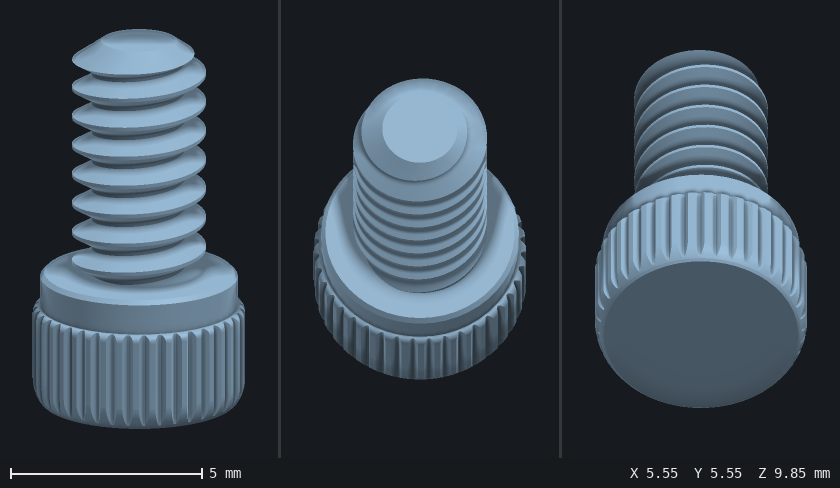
import cadquery as cq
import math

head_height = 3.505
collar_radius = 2.585
collar_chamfer = 0.11
knurl_radius = 2.778
knurl_height = 2.6
knurl_top_fillet = knurl_radius - collar_radius
crown_height = 0.6
crown_arc_radius = 0.95
foot_chamfer = 0.06

groove_count = 40
groove_depth = 0.135
groove_root_width = 0.062
groove_flank_angle = 40
groove_overcut = 0.1

major_radius = 3.505 / 2
pitch = 25.4 / 32
shank_length = 6.345
flank_angle = 30
thread_flat = pitch / 8
thread_depth = 0.75 * pitch / (2 * math.tan(math.radians(flank_angle)))
minor_radius = major_radius - thread_depth
thread_overcut = 0.05
thread_start = -1.82 * pitch
thread_turns = 10.5
tip_radius = 0.985
tip_angle = 35


def make_head():
    """Collar above a wider band with a rounded top edge and a crowned foot."""
    def crown_radius(z):
        drop = crown_height - z
        return knurl_radius - crown_arc_radius + math.sqrt(crown_arc_radius**2 - drop**2)

    foot_radius = crown_radius(foot_chamfer)
    crown_middle = (foot_chamfer + crown_height) / 2
    fillet_start = knurl_height - knurl_top_fillet
    fillet_middle = knurl_top_fillet * math.sqrt(0.5)
    profile = (
        cq.Workplane("XZ")
        .lineTo(foot_radius - foot_chamfer, 0)
        .lineTo(foot_radius, foot_chamfer)
        .threePointArc((crown_radius(crown_middle), crown_middle), (knurl_radius, crown_height))
        .lineTo(knurl_radius, fillet_start)
        .threePointArc(
            (collar_radius + fillet_middle, fillet_start + fillet_middle),
            (collar_radius, knurl_height),
        )
        .lineTo(collar_radius, head_height - collar_chamfer)
        .lineTo(collar_radius - collar_chamfer, head_height)
        .lineTo(0, head_height)
        .close()
    )
    return profile.revolve(360, (0, 0, 0), (0, 1, 0))


def cut_knurl(head):
    """Cut the ring of tapered grooves over the height of the knurled band."""
    root = knurl_radius - groove_depth
    outer = knurl_radius + groove_overcut
    root_half = groove_root_width / 2
    outer_half = root_half + (outer - root) * math.tan(math.radians(groove_flank_angle))
    groove = (
        cq.Workplane("XY")
        .polyline([(root, -root_half), (outer, -outer_half), (outer, outer_half), (root, root_half)])
        .close()
        .extrude(knurl_height)
    )
    for index in range(groove_count):
        head = head.cut(groove.rotate((0, 0, 0), (0, 0, 1), index * 360 / groove_count))
    return head


def make_shank():
    """Cylinder with a conical tip, rising from the head."""
    top = head_height + shank_length
    cone_height = (major_radius - tip_radius) * math.tan(math.radians(tip_angle))
    return (
        cq.Workplane("XZ")
        .moveTo(0, head_height)
        .lineTo(major_radius, head_height)
        .lineTo(major_radius, top - cone_height)
        .lineTo(tip_radius, top)
        .lineTo(0, top)
        .close()
        .revolve(360, (0, 0, 0), (0, 1, 0))
    )


def make_thread_cutter():
    """Right-handed helical thread space, running past both ends of the shank.

    Each side of the trapezoidal section sweeps a helicoid ruled between the helices of its
    two corners; flat faces close both ends.
    """
    start = head_height + thread_start
    outer = major_radius + thread_overcut
    root_half = thread_flat / 2
    outer_half = root_half + (outer - minor_radius) * math.tan(math.radians(flank_angle))
    section = [
        (minor_radius, -root_half),
        (outer, -outer_half),
        (outer, outer_half),
        (minor_radius, root_half),
    ]
    helices = []
    for radius, offset in section:
        origin = cq.Vector(0, 0, start + offset)
        helices.append(cq.Wire.makeHelix(pitch, pitch * thread_turns, radius, origin))

    faces = []
    for helix, neighbour in zip(helices, helices[1:] + helices[:1]):
        faces.extend(cq.Face.makeRuledSurface(helix, neighbour).Faces())
    for corners in (
        [helix.startPoint() for helix in helices],
        [helix.endPoint() for helix in helices],
    ):
        faces.append(cq.Face.makeFromWires(cq.Wire.makePolygon(corners, close=True)))
    return cq.Workplane(obj=cq.Solid.makeSolid(cq.Shell.makeShell(faces)))


threaded_shank = make_shank().cut(make_thread_cutter())
result = cut_knurl(make_head()).union(threaded_shank)